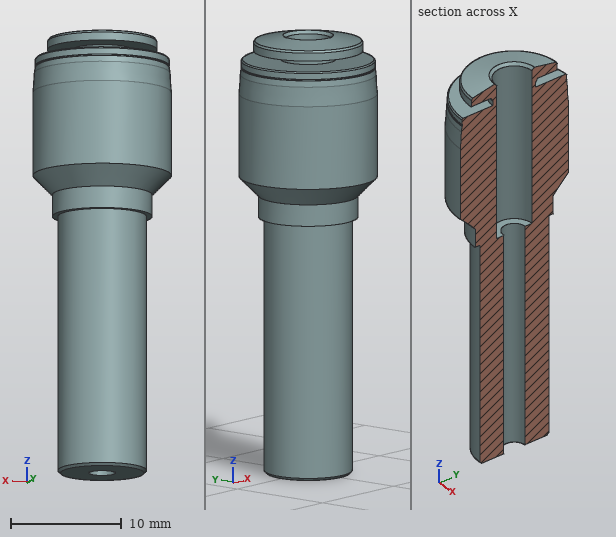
import cadquery as cq

total_height = 40.2
collar_bottom = 23.5
body_cone_bottom = 25.5
body_bottom = 27.25
body_taper_bottom = 34.85
cap_bottom = 36.62
cap_groove_bottom = 37.2
cap_groove_width = 0.12
body_top = 38.0
neck_cone_bottom = 38.47
flange_bottom = 38.8
flange_edge_bottom = 39.5
flange_edge_top = 39.7

stem_diameter = 8.0
collar_diameter = 9.0
body_diameter = 12.5
cap_base_diameter = 12.25
cap_diameter = 12.1
cap_groove_depth = 0.1
neck_diameter = 5.0
neck_cone_diameter = 5.4
flange_diameter = 9.9
stem_chamfer = 0.25
cap_chamfer = 0.12
flange_edge_inset = 0.12

through_diameter = 2.4
socket_diameter = 4.0
socket_mouth_diameter = 4.55
socket_mouth_depth = 0.3
socket_bottom = collar_bottom


def revolve_profile(points):
    """Revolve (radius, height) points, closed along the axis, about Z."""
    axis_points = [(0, points[0][1]), *points, (0, points[-1][1])]
    profile = cq.Workplane("XZ").polyline(axis_points).close()
    return profile.revolve(360, (0, 0, 0), (0, 1, 0))


def make_stem():
    radius = stem_diameter / 2
    stem = cq.Workplane("XY").circle(radius).extrude(collar_bottom)
    return stem.faces("<Z").chamfer(stem_chamfer)


def make_body():
    """Collar, conical shoulder, barrel and the grooved cap on top."""
    collar_radius = collar_diameter / 2
    body_radius = body_diameter / 2
    cap_radius = cap_diameter / 2
    groove_radius = cap_radius - cap_groove_depth
    groove_top = cap_groove_bottom + cap_groove_width
    return revolve_profile([
        (collar_radius, collar_bottom),
        (collar_radius, body_cone_bottom),
        (body_radius, body_bottom),
        (body_radius, body_taper_bottom),
        (cap_base_diameter / 2, cap_bottom),
        (cap_radius, cap_groove_bottom),
        (groove_radius, cap_groove_bottom),
        (groove_radius, groove_top),
        (cap_radius, groove_top),
        (cap_radius, body_top - cap_chamfer),
        (cap_radius - cap_chamfer, body_top),
    ])


def make_release_button():
    """Neck and flange with a shallow conical top."""
    neck_radius = neck_diameter / 2
    flange_radius = flange_diameter / 2
    return revolve_profile([
        (neck_radius, body_top),
        (neck_radius, neck_cone_bottom),
        (neck_cone_diameter / 2, flange_bottom),
        (flange_radius, flange_bottom),
        (flange_radius, flange_edge_bottom),
        (flange_radius - flange_edge_inset, flange_edge_top),
        (socket_mouth_diameter / 2, total_height),
    ])


def make_bore():
    """Tube socket with a tapered mouth, and the narrower through passage."""
    through_radius = through_diameter / 2
    socket_radius = socket_diameter / 2
    return revolve_profile([
        (through_radius, 0),
        (through_radius, socket_bottom),
        (socket_radius, socket_bottom),
        (socket_radius, total_height - socket_mouth_depth),
        (socket_mouth_diameter / 2, total_height),
    ])


result = make_stem().union(make_body()).union(make_release_button()).cut(make_bore())